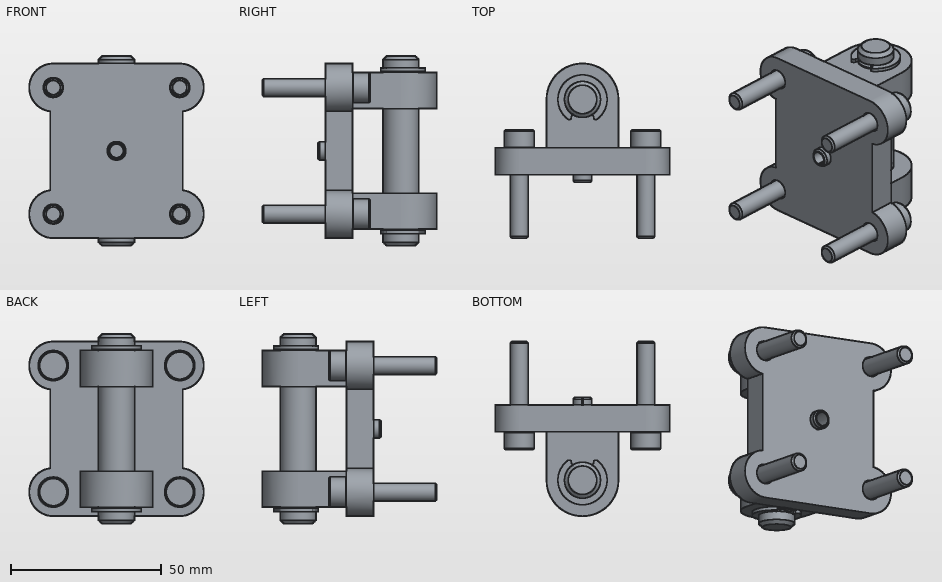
import cadquery as cq
import math

PIN_TO_PLATE = 16.0

PLATE_SIZE = 57.95
PLATE_THICKNESS = 9.0
PLATE_WAIST_WIDTH = 44.0
EAR_RADIUS = 8.0
SCREW_HOLE_DIAMETER = 6.6
PLATE_BACK_Y = -PIN_TO_PLATE
PLATE_FRONT_Y = PLATE_BACK_Y - PLATE_THICKNESS
EAR_OFFSET = PLATE_SIZE / 2 - EAR_RADIUS

LUG_THICKNESS = 12.0
LUG_GAP = 28.05
LUG_RADIUS = 12.0
LUG_OUTER_Z = LUG_GAP / 2 + LUG_THICKNESS

PIN_DIAMETER = 12.0
PIN_LENGTH = 63.0
PIN_CHAMFER = 1.25

RING_DIAMETER = 16.3
RING_THICKNESS = 1.15
RING_CLEARANCE = 0.4
RING_MOUTH_WIDTH = 7.3
RING_THROAT_WIDTH = 6.5
RING_THROAT_DEPTH = 4.9
RING_FLARE_DEPTH = 5.7
RING_TIP_FILLET = 0.75
GROOVE_DIAMETER = 8.0
RING_INNER_Z = LUG_OUTER_Z + RING_CLEARANCE
RING_START_HEIGHTS = (RING_INNER_Z, -RING_INNER_Z - RING_THICKNESS)

SHANK_DIAMETER = 6.0
SHANK_LENGTH = 30.05
SHANK_CHAMFER = 0.6
HEAD_DIAMETER = 10.0
HEAD_HEIGHT = 5.9
HEAD_TOP_CHAMFER = 0.5
HEAD_BASE_CHAMFER = 0.2

SPRING_PIN_DIAMETER = 6.2
SPRING_PIN_WALL = 0.8
SPRING_PIN_LENGTH = 10.0
SPRING_PIN_PROTRUSION = 2.5
SPRING_PIN_CHAMFER_LENGTH = 0.7
SPRING_PIN_CHAMFER_DEPTH = 0.5
SPRING_PIN_SLIT_WIDTH = 0.6
SPRING_PIN_INNER_Y = PLATE_FRONT_Y - SPRING_PIN_PROTRUSION + SPRING_PIN_LENGTH



def cylinder_along_z(diameter, length, start_z):
    """Cylinder on the Z axis that rises from start_z."""
    return cq.Workplane("XY").workplane(offset=start_z).circle(diameter / 2).extrude(length)


def cylinder_along_y(diameter, length, start_y):
    """Cylinder on the Y axis that runs from start_y toward -Y."""
    return cq.Workplane("XZ", origin=(0, start_y, 0)).circle(diameter / 2).extrude(length)


def make_plate():
    """Waisted plate with a round ear and a clearance hole at each corner."""
    plane = cq.Workplane("XZ", origin=(0, PLATE_BACK_Y, 0))
    ear_grid = plane.rect(2 * EAR_OFFSET, 2 * EAR_OFFSET, forConstruction=True).vertices()
    waist = plane.rect(PLATE_WAIST_WIDTH, 2 * EAR_OFFSET).extrude(PLATE_THICKNESS)
    middle = plane.rect(2 * EAR_OFFSET, PLATE_SIZE).extrude(PLATE_THICKNESS)
    ears = ear_grid.circle(EAR_RADIUS).extrude(PLATE_THICKNESS)
    holes = ear_grid.circle(SCREW_HOLE_DIAMETER / 2).extrude(PLATE_THICKNESS)
    blind_hole_depth = SPRING_PIN_INNER_Y - PLATE_FRONT_Y
    blind_hole = cylinder_along_y(SPRING_PIN_DIAMETER, blind_hole_depth, SPRING_PIN_INNER_Y)
    return middle.union(waist).union(ears).cut(holes).cut(blind_hole)


def make_lug(start_z):
    """Lug with a full round end about the pin axis, rising from start_z."""
    return (
        cq.Workplane("XY", origin=(0, 0, start_z))
        .moveTo(-LUG_RADIUS, PLATE_BACK_Y)
        .lineTo(LUG_RADIUS, PLATE_BACK_Y)
        .lineTo(LUG_RADIUS, 0)
        .threePointArc((0, LUG_RADIUS), (-LUG_RADIUS, 0))
        .close()
        .extrude(LUG_THICKNESS)
    )


def make_bracket():
    """Plate and two lugs in one piece, bored for the clevis pin."""
    bracket = make_plate()
    for start_z in (-LUG_OUTER_Z, LUG_GAP / 2):
        bracket = bracket.union(make_lug(start_z))
    return bracket.cut(cylinder_along_z(PIN_DIAMETER, PIN_LENGTH, -PIN_LENGTH / 2))


def make_clevis_pin():
    """Chamfered pin with one ring groove beyond each lug."""
    pin = cylinder_along_z(PIN_DIAMETER, PIN_LENGTH, -PIN_LENGTH / 2).faces("|Z").chamfer(PIN_CHAMFER)
    for start_z in RING_START_HEIGHTS:
        groove = (
            cq.Workplane("XY", origin=(0, 0, start_z))
            .circle(PIN_DIAMETER / 2)
            .circle(GROOVE_DIAMETER / 2)
            .extrude(RING_THICKNESS)
        )
        pin = pin.cut(groove)
    return pin


def make_retaining_ring(start_z):
    """Snap ring seated in a pin groove, with its rounded mouth toward the plate."""
    plane = cq.Workplane("XY", origin=(0, 0, start_z))
    ring = plane.circle(RING_DIAMETER / 2).circle(GROOVE_DIAMETER / 2).extrude(RING_THICKNESS)
    half_throat = RING_THROAT_WIDTH / 2
    half_mouth = RING_MOUTH_WIDTH / 2
    mouth = (
        plane.moveTo(-half_throat, 0)
        .lineTo(-half_throat, -RING_THROAT_DEPTH)
        .lineTo(-half_mouth, -RING_FLARE_DEPTH)
        .lineTo(-half_mouth, -RING_DIAMETER / 2)
        .lineTo(half_mouth, -RING_DIAMETER / 2)
        .lineTo(half_mouth, -RING_FLARE_DEPTH)
        .lineTo(half_throat, -RING_THROAT_DEPTH)
        .lineTo(half_throat, 0)
        .close()
        .extrude(RING_THICKNESS)
    )
    tip_depth = math.sqrt(RING_DIAMETER**2 - RING_MOUTH_WIDTH**2) / 2
    tip_edges = cq.selectors.BoxSelector(
        (-RING_DIAMETER, -tip_depth - RING_TIP_FILLET, start_z),
        (RING_DIAMETER, -tip_depth + RING_TIP_FILLET, start_z + RING_THICKNESS),
    )
    return ring.cut(mouth).edges("|Z").edges(tip_edges).fillet(RING_TIP_FILLET)


def make_screw(x, z):
    """Cap screw whose head rests on the lug side of the plate."""
    head = cylinder_along_y(HEAD_DIAMETER, HEAD_HEIGHT, PLATE_BACK_Y + HEAD_HEIGHT)
    head = head.faces(">Y").chamfer(HEAD_TOP_CHAMFER).faces("<Y").chamfer(HEAD_BASE_CHAMFER)
    shank = cylinder_along_y(SHANK_DIAMETER, SHANK_LENGTH, PLATE_BACK_Y).faces("<Y").chamfer(SHANK_CHAMFER)
    return head.union(shank).translate((x, 0, z))


def make_spring_pin():
    """Hollow pin with a chamfered outer end and a lengthwise slit on its -Z side."""
    bore_diameter = SPRING_PIN_DIAMETER - 2 * SPRING_PIN_WALL
    body = cylinder_along_y(SPRING_PIN_DIAMETER, SPRING_PIN_LENGTH, SPRING_PIN_INNER_Y)
    body = body.faces("<Y").edges().chamfer(SPRING_PIN_CHAMFER_LENGTH, SPRING_PIN_CHAMFER_DEPTH)
    bore = cylinder_along_y(bore_diameter, SPRING_PIN_LENGTH, SPRING_PIN_INNER_Y)
    slit = (
        cq.Workplane("XZ", origin=(0, SPRING_PIN_INNER_Y, -SPRING_PIN_DIAMETER / 2))
        .rect(SPRING_PIN_SLIT_WIDTH, SPRING_PIN_DIAMETER)
        .extrude(SPRING_PIN_LENGTH)
    )
    return body.cut(bore).cut(slit)


bracket = make_bracket()
clevis_pin = make_clevis_pin()
rings = [make_retaining_ring(z) for z in RING_START_HEIGHTS]
screws = [make_screw(x, z) for x in (-EAR_OFFSET, EAR_OFFSET) for z in (-EAR_OFFSET, EAR_OFFSET)]
spring_pin = make_spring_pin()

result = cq.Compound.makeCompound(
    [
        bracket.val(),
        clevis_pin.val(),
        *[ring.val() for ring in rings],
        *[screw.val() for screw in screws],
        spring_pin.val(),
    ]
)